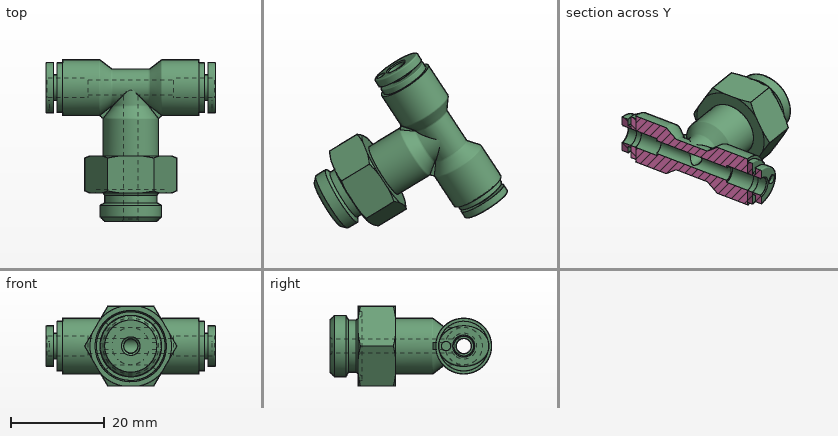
import cadquery as cq
import math


limb_radius = 11.9 / 2
neck_radius = 4.0
neck_half_length = 4.02
shoulder = 6.6
taper_fillet = 0.45
run_end = 14.5
hex_back = 14.5
web_thickness = 1.52
run_bore_radius = 3.2 / 2
tube_bore_radius = 4.2 / 2
socket_depth = 5.43

across_flats = 17.0
hex_length = 7.95
hex_chamfer_radius = 8.7
hex_chamfer_slope = math.radians(23)
stud_length = 14.0
recess_rim_radius = 7.6
recess_floor_radius = 7.3
recess_depth = 0.8
relief_radius = 11.2 / 2
relief_flare_length = 0.47
relief_flare_slope = 0.65
thread_radius = 13.15 / 2
thread_start = 10.57
thread_run_in = 0.55
thread_chamfer = 1.0
stud_bore_radius = 3.0 / 2
stud_bore_rim_radius = 2.0

ring_radius = 10.6 / 2
ring_thickness = 1.23
ring_fillet = 0.15

overall_half_length = 18.1
head_thickness = 1.65
head_width = 10.75
head_height = 8.7
head_fillet = 0.3
stem_radius = 5.5 / 2
mouth_radius = 2.35
mouth_depth = 0.25
dimple_radius = 2.0 / 2
dimple_offset = 3.75
dimple_depth = 0.8

HEX_SIDES = 6
SIDES = (-1, 1)


def turned_x(points):
    """Solid of revolution about X from (distance along X, radius) points."""
    return cq.Workplane("XY").polyline(points).close().revolve(360, (0, 0, 0), (1, 0, 0))


def rod_x(radius, start, end):
    return cq.Workplane("YZ", origin=(start, 0, 0)).circle(radius).extrude(end - start)


def along_branch(body):
    """Swing a body built along +X round to the -Y branch."""
    return body.rotate((0, 0, 0), (0, 0, 1), -90)


def on_side(body, side):
    """Leave a body on +X, or mirror it to -X."""
    return body if side > 0 else body.mirror("YZ")


def make_limb(end):
    """Narrow neck that tapers up to a full-size barrel with softened taper edges."""
    limb = turned_x([
        (0, 0),
        (0, neck_radius),
        (neck_half_length, neck_radius),
        (shoulder, limb_radius),
        (end, limb_radius),
        (end, 0),
    ])
    taper_edges = cq.selectors.BoxSelector(
        (neck_half_length - taper_fillet, -limb_radius, -limb_radius),
        (shoulder + taper_fillet, limb_radius, limb_radius),
    )
    return limb.edges(taper_edges).edges("%CIRCLE").fillet(taper_fillet)


def make_tee():
    arm = make_limb(run_end)
    tee = arm.union(arm.mirror("YZ")).union(along_branch(make_limb(hex_back)))

    web = (
        cq.Workplane("XY")
        .polyline([
            (-shoulder, 0),
            (-shoulder, -limb_radius),
            (-limb_radius, -shoulder),
            (limb_radius, -shoulder),
            (shoulder, -limb_radius),
            (shoulder, 0),
        ])
        .close()
        .extrude(web_thickness / 2, both=True)
    )
    tee = tee.union(web)

    tee = tee.cut(rod_x(run_bore_radius, -run_end, run_end))
    for side in SIDES:
        tee = tee.cut(on_side(rod_x(tube_bore_radius, run_end - socket_depth, run_end), side))
    return tee.cut(along_branch(rod_x(stud_bore_radius, 0, hex_back)))


def make_hexagon():
    """Hexagon nut shape from X = 0, flats facing Z, corners chamfered at both ends."""
    corner_radius = across_flats / 2 / math.cos(math.pi / HEX_SIDES)
    hexagon = cq.Workplane("YZ").polygon(HEX_SIDES, 2 * corner_radius).extrude(hex_length)
    setback = (corner_radius - hex_chamfer_radius) * math.tan(hex_chamfer_slope)
    envelope = turned_x([
        (0, 0),
        (0, hex_chamfer_radius),
        (setback, corner_radius),
        (hex_length - setback, corner_radius),
        (hex_length, hex_chamfer_radius),
        (hex_length, 0),
    ])
    return hexagon.intersect(envelope)


def make_stud():
    """Hexagon with a sealing recess, relief groove, smooth thread land and bore."""
    recess_floor = hex_length - recess_depth
    flare_end = hex_length + relief_flare_length
    recess = turned_x([
        (recess_floor, 0),
        (recess_floor, recess_floor_radius),
        (hex_length, recess_rim_radius),
        (hex_length, 0),
    ])
    shank = turned_x([
        (recess_floor, 0),
        (recess_floor, relief_radius + relief_flare_slope * (flare_end - recess_floor)),
        (flare_end, relief_radius),
        (thread_start - thread_run_in, relief_radius),
        (thread_start, thread_radius),
        (stud_length - thread_chamfer, thread_radius),
        (stud_length, thread_radius - thread_chamfer),
        (stud_length, 0),
    ])
    countersink_depth = stud_bore_rim_radius - stud_bore_radius
    bore = turned_x([
        (0, 0),
        (0, stud_bore_radius),
        (stud_length - countersink_depth, stud_bore_radius),
        (stud_length, stud_bore_rim_radius),
        (stud_length, 0),
    ])
    stud = make_hexagon().cut(recess).union(shank).cut(bore)
    return along_branch(stud.translate((hex_back, 0, 0)))


def make_ring(side):
    """Retaining ring on the end of the run."""
    ring = rod_x(ring_radius, run_end, run_end + ring_thickness)
    ring = ring.faces(">X").edges().fillet(ring_fillet)
    ring = ring.cut(rod_x(tube_bore_radius, run_end, run_end + ring_thickness))
    return on_side(ring, side)


def make_button(side):
    """Oval release button on a round stem, with a tube bore and a round dimple."""
    head_back = overall_half_length - head_thickness
    head = (
        cq.Workplane("YZ", origin=(head_back, 0, 0))
        .ellipse(head_width / 2, head_height / 2)
        .extrude(head_thickness)
        .faces(">X")
        .edges()
        .fillet(head_fillet)
    )
    stem_start = run_end + ring_thickness
    button = head.union(rod_x(stem_radius, stem_start, head_back))
    bore = turned_x([
        (stem_start, 0),
        (stem_start, tube_bore_radius),
        (overall_half_length - mouth_depth, tube_bore_radius),
        (overall_half_length, mouth_radius),
        (overall_half_length, 0),
    ])
    dimple = rod_x(dimple_radius, overall_half_length - dimple_depth, overall_half_length)
    button = button.cut(bore).cut(dimple.translate((0, -dimple_offset, 0)))
    return on_side(button, side)


tee = make_tee()
stud = make_stud()
rings = [make_ring(side) for side in SIDES]
buttons = [make_button(side) for side in SIDES]

bodies = [tee, stud, *rings, *buttons]
result = cq.Compound.makeCompound([body.solids().val() for body in bodies])